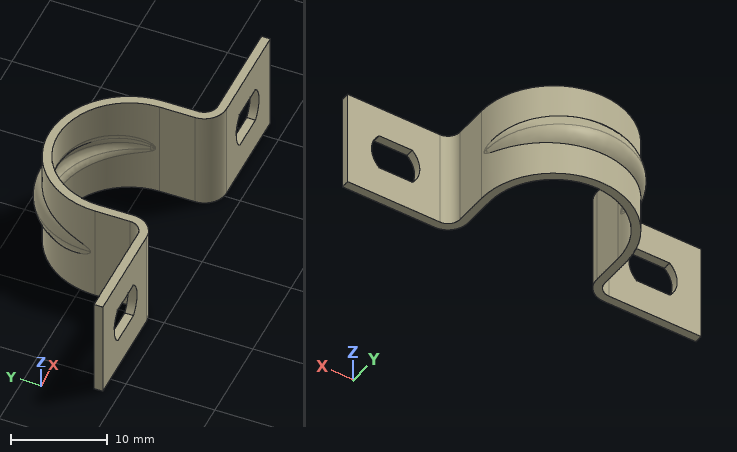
import cadquery as cq
import math

overall_length = 44.0
strap_width = 12.0
thickness = 1.0
inner_radius = 8.0
arc_centre_y = 6.45
bend_inner_radius = 1.5

bead_height = 1.0
bead_section_radius = 2.45
groove_section_radius = bead_section_radius - thickness
groove_lip_radius = thickness

hole_spacing = 32.05
hole_diameter = 6.0
hole_height = 4.35

outer_radius = inner_radius + thickness
bend_outer_radius = bend_inner_radius + thickness
bend_centre_x = inner_radius + bend_outer_radius
bead_centre_y = arc_centre_y + bead_height


def half_round(radius):
    """Strap-wide solid arch with straight sides and a semicircular crown."""
    return (
        cq.Workplane("XY")
        .moveTo(-radius, bend_outer_radius)
        .lineTo(-radius, arc_centre_y)
        .threePointArc((0, arc_centre_y + radius), (radius, arc_centre_y))
        .lineTo(radius, bend_outer_radius)
        .close()
        .extrude(strap_width / 2, both=True)
    )


def foot(side):
    """Flat foot and the bend joining it to the leg; side is -1 or 1."""
    diagonal = math.sqrt(0.5)
    centre_x = side * bend_centre_x
    return (
        cq.Workplane("XY")
        .moveTo(side * overall_length / 2, 0)
        .lineTo(centre_x, 0)
        .threePointArc(
            (centre_x - side * bend_outer_radius * diagonal, bend_outer_radius * (1 - diagonal)),
            (side * inner_radius, bend_outer_radius),
        )
        .lineTo(side * outer_radius, bend_outer_radius)
        .threePointArc(
            (
                centre_x - side * bend_inner_radius * diagonal,
                bend_outer_radius - bend_inner_radius * diagonal,
            ),
            (centre_x, thickness),
        )
        .lineTo(side * overall_length / 2, thickness)
        .close()
        .extrude(strap_width / 2, both=True)
    )


def bead_ring(crest_radius, section_radius):
    """Crown half of a torus about Z, shifted so that it fades into the strap at the legs."""
    path_radius = crest_radius - section_radius
    ring = cq.Workplane(cq.Solid.makeTorus(path_radius, section_radius, cq.Vector(0, bead_centre_y, 0)))
    crown_side = (
        cq.Workplane("XY")
        .box(overall_length, overall_length, strap_width, centered=(True, False, True))
        .translate((0, arc_centre_y, 0))
    )
    return ring.intersect(crown_side)


def mounting_hole(side):
    """Cutter for the flat-sided hole in one foot; side is -1 or 1."""
    round_hole = (
        cq.Workplane("XZ")
        .center(side * hole_spacing / 2, 0)
        .circle(hole_diameter / 2)
        .extrude(thickness, both=True)
    )
    flats = cq.Workplane("XY").box(overall_length, 2 * thickness, hole_height)
    return round_hole.intersect(flats)


outside = half_round(outer_radius).union(bead_ring(outer_radius, bead_section_radius))
inside = half_round(inner_radius).union(bead_ring(inner_radius, groove_section_radius))

groove_lip = inside.edges().filter(lambda edge: edge.geomType() == "BSPLINE").vals()
inside = inside.newObject(groove_lip).fillet(groove_lip_radius)

result = outside.cut(inside)
for side in (-1, 1):
    result = result.union(foot(side)).cut(mounting_hole(side))